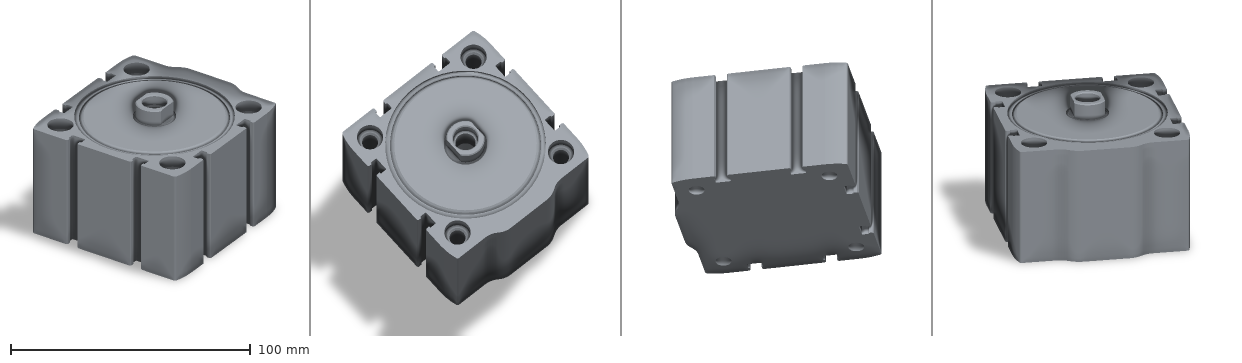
import cadquery as cq
import math


side = 75.0
half = side / 2
height = 50.0
bump_rise = 3.5
bump_flat_half = 9.8
bump_foot_half = 20.8
flank_start = 28.2
corner_x = 35.9
corner_radius = 1.0

slot_offset = 16.0
slot_mouth = 5.0
slot_mouth_depth = 2.0
slot_width = 6.5
slot_depth = 5.0
slot_mouth_fillet = 0.4
slot_inner_fillet = 0.4

mount_offset = 28.25
mount_diameter = 6.7
mount_chamfer_diameter = 8.4
mount_chamfer_height = 0.6
mount_bore_diameter = 11.0
mount_bore_depth = 5.0

groove_diameter = 67.0
groove_depth = 1.2
retainer_ridge_diameter = 63.9
retainer_ridge_drop = 0.4
cap_diameter = 63.0
retainer_inner_drop = 0.6
cap_edge_drop = 1.4
cap_bevel_diameter = 61.1
cap_bevel_drop = 0.5
cap_face_diameter = 59.5

rod_diameter = 16.0
rod_stickout = 7.0
rod_insertion = height / 2
rod_chamfer = 0.5
flat_offset = 6.5
flat_end_height = 0.3
flat_runout_angle = 30.0

lip_recess_diameter = 18.1
lip_base_diameter = 17.6

socket_mouth_diameter = 11.5
socket_diameter = 10.5
socket_depth = 4.55
socket_bore_diameter = 8.55
socket_bore_depth = 15.7
drill_tip_angle = 118.0


def drill_rise(diameter):
    """Height of a drill-tip cone with the given base diameter."""
    return diameter / 2 / math.tan(math.radians(drill_tip_angle / 2))


def revolved(points):
    """Solid of revolution about Z from a closed (radius, Z) outline."""
    return cq.Workplane("XZ").polyline(points).close().revolve(360, (0, 0, 0), (0, 1, 0))


def flank_midpoint(sign_x, sign_y):
    """Middle of the curved flank, an arc tangent to the flat flank."""
    inset = half - corner_x
    rise = half - flank_start
    radius = (inset**2 + rise**2) / (2 * inset)
    half_angle = math.asin(rise / radius) / 2
    x = half - radius * (1 - math.cos(half_angle))
    y = flank_start + radius * math.sin(half_angle)
    return (sign_x * x, sign_y * y)


def housing_block():
    """Extruded outline with curved flanks and an S-curved bump on the +Y side."""
    crest_y = half + bump_rise
    bend_x = (bump_flat_half + bump_foot_half) / 2
    bend_y = half + bump_rise / 2
    block = (
        cq.Workplane("XY")
        .moveTo(half, -flank_start)
        .lineTo(half, flank_start)
        .tangentArcPoint((corner_x, half), relative=False)
        .lineTo(bump_foot_half, half)
        .tangentArcPoint((bend_x, bend_y), relative=False)
        .tangentArcPoint((bump_flat_half, crest_y), relative=False)
        .lineTo(-bump_flat_half, crest_y)
        .tangentArcPoint((-bend_x, bend_y), relative=False)
        .tangentArcPoint((-bump_foot_half, half), relative=False)
        .lineTo(-corner_x, half)
        .threePointArc(flank_midpoint(-1, 1), (-half, flank_start))
        .lineTo(-half, -flank_start)
        .tangentArcPoint((-corner_x, -half), relative=False)
        .lineTo(corner_x, -half)
        .threePointArc(flank_midpoint(1, -1), (half, -flank_start))
        .close()
        .extrude(height)
    )
    corners = [(x, y) for x in (-corner_x, corner_x) for y in (-half, half)]
    for x, y in corners:
        corner = cq.selectors.NearestToPointSelector((x, y, height / 2))
        block = block.edges(corner).fillet(corner_radius)
    return block


def slot_cutter(turn, offset):
    """T-slot in the -Y side with rounded mouth edges, turned about Z onto its side."""
    left = offset - slot_mouth / 2
    right = offset + slot_mouth / 2
    bevel = slot_mouth_fillet
    mouth = (
        cq.Workplane("XY")
        .moveTo(left - bevel, -half)
        .radiusArc((left, -half + bevel), bevel)
        .lineTo(left, -half + slot_depth)
        .lineTo(right, -half + slot_depth)
        .lineTo(right, -half + bevel)
        .radiusArc((right + bevel, -half), bevel)
        .close()
        .extrude(height)
    )
    channel_depth = slot_depth - slot_mouth_depth
    channel = (
        cq.Workplane("XY")
        .center(offset, -half + slot_mouth_depth + channel_depth / 2)
        .rect(slot_width, channel_depth)
        .extrude(height)
        .edges("|Z")
        .fillet(slot_inner_fillet)
    )
    return mouth.union(channel).rotate((0, 0, 0), (0, 0, 1), turn)


def mount_cutter(x, y):
    """Through hole with a chamfered entry below a counterbore."""
    hole_r = mount_diameter / 2
    entry_r = mount_chamfer_diameter / 2
    bore_r = mount_bore_diameter / 2
    floor = height - mount_bore_depth
    return revolved([
        (0, 0),
        (hole_r, 0),
        (hole_r, floor - mount_chamfer_height),
        (entry_r, floor),
        (bore_r, floor),
        (bore_r, height),
        (0, height),
    ]).translate((x, y, 0))


def cap_groove_cutter():
    """Ring-shaped groove between the housing wall and the bevelled end cap."""
    return revolved([
        (groove_diameter / 2, height),
        (groove_diameter / 2, height - groove_depth),
        (retainer_ridge_diameter / 2, height - retainer_ridge_drop),
        (cap_diameter / 2, height - retainer_inner_drop),
        (cap_diameter / 2, height - cap_edge_drop),
        (cap_bevel_diameter / 2, height - cap_bevel_drop),
        (cap_face_diameter / 2, height),
    ])


def rod_hole_cutter():
    """Blind seat for the rod, with a conical wiper lip in a recess at its mouth."""
    rod_r = rod_diameter / 2
    recess_r = lip_recess_diameter / 2
    seat = (
        cq.Workplane("XY")
        .workplane(offset=height - rod_insertion)
        .circle(rod_r)
        .extrude(rod_insertion)
    )
    lip_base_r = lip_base_diameter / 2
    recess_floor = height - (lip_base_r - rod_r)
    recess = revolved([
        (rod_r, height),
        (lip_base_r, recess_floor),
        (recess_r, recess_floor),
        (recess_r, height),
    ])
    return seat.union(recess)


def make_housing():
    body = housing_block()
    for turn in (-90, 0, 90):
        for offset in (-slot_offset, slot_offset):
            body = body.cut(slot_cutter(turn, offset))
    for x in (-mount_offset, mount_offset):
        for y in (-mount_offset, mount_offset):
            body = body.cut(mount_cutter(x, y))
    body = body.cut(cap_groove_cutter())
    return body.cut(rod_hole_cutter())


def flat_cutter(sign_x):
    """Removes one side of the rod down to its flat, leaving a sloping ledge below."""
    reach = rod_diameter
    drop = (reach - flat_offset) * math.tan(math.radians(flat_runout_angle))
    flat_end = height + flat_end_height
    rod_top = height + rod_stickout
    return (
        cq.Workplane("XZ")
        .polyline([
            (sign_x * flat_offset, rod_top),
            (sign_x * flat_offset, flat_end),
            (sign_x * reach, flat_end - drop),
            (sign_x * reach, rod_top),
        ])
        .close()
        .extrude(rod_diameter / 2, both=True)
    )


def socket_cutter():
    """Stepped socket in the rod end: chamfered mouth, conical step, drilled bore."""
    top = height + rod_stickout
    mouth_r = socket_mouth_diameter / 2
    wall_r = socket_diameter / 2
    bore_r = socket_bore_diameter / 2
    step = drill_rise(socket_diameter) - drill_rise(socket_bore_diameter)
    return revolved([
        (0, top),
        (mouth_r, top),
        (wall_r, top - (mouth_r - wall_r)),
        (wall_r, top - socket_depth),
        (bore_r, top - socket_depth - step),
        (bore_r, top - socket_bore_depth),
        (0, top - socket_bore_depth - drill_rise(socket_bore_diameter)),
    ])


def make_piston_rod():
    rod = (
        cq.Workplane("XY")
        .workplane(offset=height - rod_insertion)
        .circle(rod_diameter / 2)
        .extrude(rod_insertion + rod_stickout)
        .faces(">Z")
        .chamfer(rod_chamfer)
    )
    for sign_x in (-1, 1):
        rod = rod.cut(flat_cutter(sign_x))
    return rod.cut(socket_cutter())


housing = make_housing()
piston_rod = make_piston_rod()
result = cq.Compound.makeCompound([*housing.solids().vals(), *piston_rod.solids().vals()])